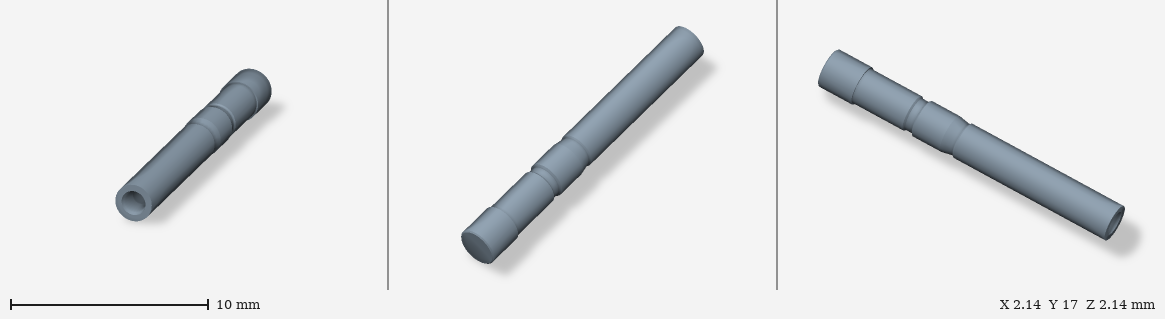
import cadquery as cq
import math

length = 17.0
head_radius = 1.07
head_length = 2.0
head_chamfer = 0.07
shank_radius = 0.99
barrel_radius = 1.02

neck_radius = 0.9
flank_length = 0.1
groove_start = 5.0
groove_end = 5.6

cone_start = 7.25
tail_start = 8.0

mouth_radius = 0.65
pilot_radius = 0.4
lead_in_length = 1.0
bore_depth = 5.0
drill_point_angle = 118.0

end_y = length / 2


def revolve_about_y(profile):
    """Revolve (radius, y) points into a solid of revolution about Y."""
    return cq.Workplane("XY").polyline(profile).close().revolve(360, (0, 0, 0), (0, 1, 0))


def outer_body():
    radius_and_station = [
        (0, 0),
        (head_radius - head_chamfer, 0),
        (head_radius, head_chamfer),
        (head_radius, head_length),
        (shank_radius, head_length),
        (shank_radius, groove_start),
        (neck_radius, groove_start + flank_length),
        (neck_radius, groove_end - flank_length),
        (barrel_radius, groove_end),
        (barrel_radius, cone_start),
        (neck_radius, tail_start - flank_length),
        (shank_radius, tail_start),
        (shank_radius, length),
        (0, length),
    ]
    return revolve_about_y([(radius, end_y - station) for radius, station in radius_and_station])


def bore():
    point_length = pilot_radius / math.tan(math.radians(drill_point_angle / 2))
    mouth_y = -end_y
    profile = [
        (0, mouth_y),
        (mouth_radius, mouth_y),
        (pilot_radius, mouth_y + lead_in_length),
        (pilot_radius, mouth_y + bore_depth),
        (0, mouth_y + bore_depth + point_length),
    ]
    return revolve_about_y(profile)


result = outer_body().cut(bore())